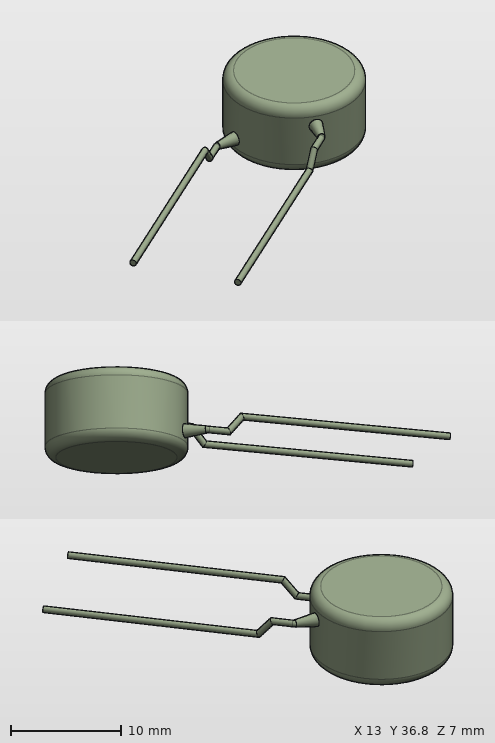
import cadquery as cq
import math


case_diameter = 13.0
case_height = 7.0
case_rounding = 1.0
overall_length = 36.8

wire_diameter = 0.63
lead_spacing = 10.05
exit_height = 1.5
bend_radius = 0.35
bend_end_y = -7.05
kink_start_y = -9.0
kink_end_y = -10.3

collar_angle = 33.0
collar_tip_diameter = 0.7
collar_root_diameter = 1.47
collar_length = 2.58

case_radius = case_diameter / 2
wire_radius = wire_diameter / 2
lead_x = lead_spacing / 2
lead_end_y = case_radius - overall_length

bend_centre_x = lead_x - bend_radius


def bend_point(angle):
    """Point on the bend centre line in plan, at an angle in degrees from the straight wire."""
    turn = math.radians(angle)
    return (
        bend_centre_x + bend_radius * math.cos(turn),
        bend_end_y + bend_radius * math.sin(turn),
    )


collar_tip = bend_point(collar_angle)
collar_direction = cq.Vector(
    -math.sin(math.radians(collar_angle)),
    math.cos(math.radians(collar_angle)),
    0,
)


def make_case():
    """Cylinder with both rims rounded."""
    base = cq.Workplane("XY", origin=(0, 0, -case_height / 2))
    return base.circle(case_radius).extrude(case_height).edges("%CIRCLE").fillet(case_rounding).val()


def make_collar(case):
    """Cone that widens from the wire to the case and fits against its wall."""
    cone = cq.Solid.makeCone(
        collar_tip_diameter / 2,
        collar_root_diameter / 2,
        collar_length,
        pnt=cq.Vector(*collar_tip, exit_height),
        dir=collar_direction,
    )
    return cq.Workplane(cone).cut(cq.Workplane(case)).solids().val()


def make_lead():
    """Round wire: bend at the collar, straight run, sharp kink to mid-plane, long straight leg."""
    bend = cq.Edge.makeThreePointArc(
        cq.Vector(*bend_point(collar_angle), exit_height),
        cq.Vector(*bend_point(collar_angle / 2), exit_height),
        cq.Vector(*bend_point(0), exit_height),
    )
    leg = cq.Wire.makePolygon(
        [
            cq.Vector(lead_x, bend_end_y, exit_height),
            cq.Vector(lead_x, kink_start_y, exit_height),
            cq.Vector(lead_x, kink_end_y, 0),
            cq.Vector(lead_x, lead_end_y, 0),
        ]
    )
    path = cq.Wire.assembleEdges([bend, *leg.Edges()])
    start = cq.Plane(
        origin=(*collar_tip, exit_height),
        xDir=(0, 0, 1),
        normal=-collar_direction,
    )
    return cq.Workplane(start).circle(wire_radius).sweep(path, transition="right").solids().val()


case = make_case()

collars = []
leads = []
for half_turn in (0, 180):
    collars.append(make_collar(case).rotate((0, 0, 0), (0, 1, 0), half_turn))
    leads.append(make_lead().rotate((0, 0, 0), (0, 1, 0), half_turn))

result = cq.Compound.makeCompound([case, *collars, *leads])